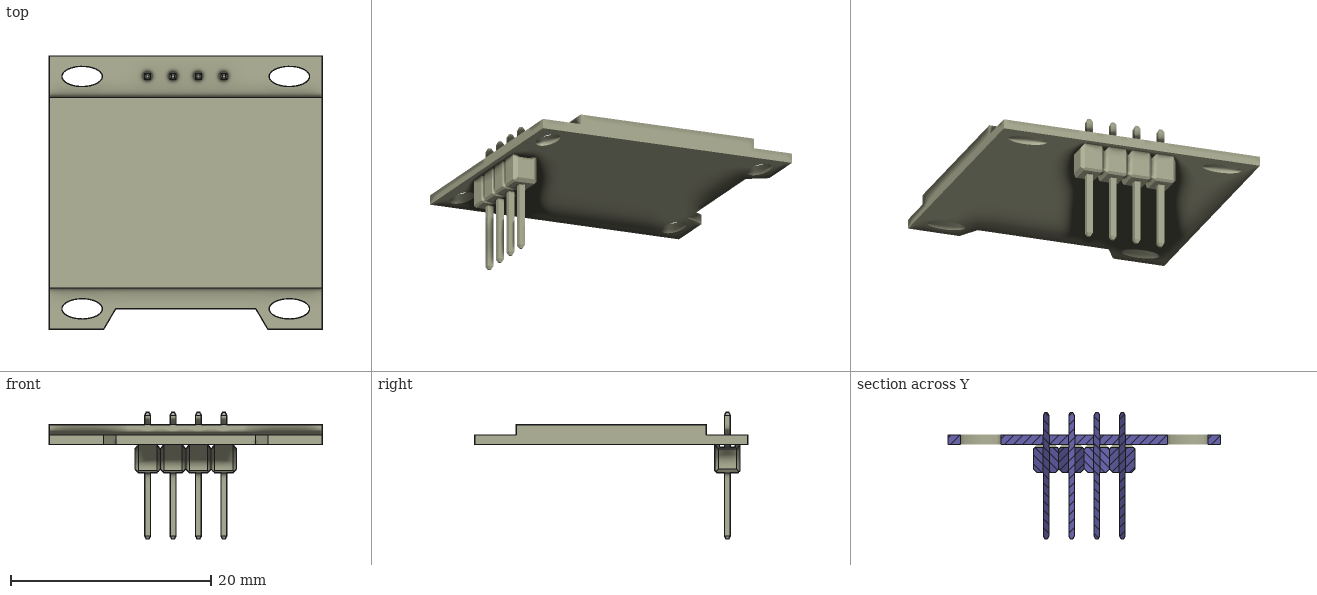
import cadquery as cq

board_size = 27.3
board_thickness = 0.98
display_thickness = 1.0
display_length = 19.0

hole_length = 4.0
hole_width = 2.0
hole_inset_x = 3.3
row_inset_y = 2.05
hole_x = board_size / 2 - hole_inset_x
row_y = board_size / 2 - row_inset_y

cutout_depth = row_inset_y
cutout_mouth_inset = 5.45
cutout_floor_inset = 6.65

pin_count = 4
pin_pitch = 2.55
pin_width = 0.6
pin_length = 12.7
pin_top_z = 3.25
pin_tip_height = 0.33
pin_tip_inset = 0.16

housing_height = 2.8
housing_chamfer = 0.35
top_bevel_height = 0.45
base_bevel = 0.22
housing_groove_width = 1.55
housing_groove_depth = 0.25

pin_places = [
    ((index - (pin_count - 1) / 2) * pin_pitch, row_y) for index in range(pin_count)
]


def make_board():
    """Notched board with its display panel, mounting holes and pin holes; underside at Z = 0."""
    half = board_size / 2
    mouth_x = half - cutout_mouth_inset
    floor_x = half - cutout_floor_inset
    cutout_y = -half + cutout_depth

    plate = (
        cq.Workplane("XY")
        .polyline([
            (-half, -half),
            (-mouth_x, -half),
            (-floor_x, cutout_y),
            (floor_x, cutout_y),
            (mouth_x, -half),
            (half, -half),
            (half, half),
            (-half, half),
        ])
        .close()
        .extrude(board_thickness)
    )
    display = (
        cq.Workplane("XY")
        .rect(board_size, display_length)
        .extrude(board_thickness + display_thickness)
    )
    mounting_holes = (
        cq.Workplane("XY")
        .rect(2 * hole_x, 2 * row_y, forConstruction=True)
        .vertices()
        .ellipse(hole_length / 2, hole_width / 2)
        .extrude(board_thickness)
    )
    pin_holes = (
        cq.Workplane("XY")
        .pushPoints(pin_places)
        .rect(pin_width, pin_width)
        .extrude(board_thickness)
    )
    return plate.union(display).cut(mounting_holes).cut(pin_holes)


def make_housing(x, y):
    """Block hanging from the board, bevelled, grooved along X on top and pierced by the pin."""
    half = pin_pitch / 2
    end_x = half - housing_chamfer
    base_y = half - base_bevel
    groove_y = housing_groove_width / 2

    footprint = (
        cq.Workplane("XY")
        .box(pin_pitch, pin_pitch, housing_height, centered=(True, True, False))
        .edges("|Z")
        .chamfer(housing_chamfer)
    )
    end_profile = (
        cq.Workplane("XZ")
        .polyline([
            (-end_x, 0),
            (end_x, 0),
            (half, housing_chamfer),
            (half, housing_height - top_bevel_height),
            (end_x, housing_height),
            (-end_x, housing_height),
            (-half, housing_height - top_bevel_height),
            (-half, housing_chamfer),
        ])
        .close()
        .extrude(half, both=True)
    )
    side_profile = (
        cq.Workplane("YZ")
        .polyline([
            (-base_y, 0),
            (base_y, 0),
            (half, base_bevel),
            (half, housing_height),
            (groove_y, housing_height),
            (groove_y, housing_height - housing_groove_depth),
            (-groove_y, housing_height - housing_groove_depth),
            (-groove_y, housing_height),
            (-half, housing_height),
            (-half, base_bevel),
        ])
        .close()
        .extrude(half, both=True)
    )
    pin_hole = cq.Workplane("XY").rect(pin_width, pin_width).extrude(housing_height)
    block = footprint.intersect(end_profile).intersect(side_profile)
    return block.cut(pin_hole).translate((x, y, -housing_height))


def make_pin(x, y):
    """Square pin running through housing and board, tapered at both ends."""
    return (
        cq.Workplane("XY")
        .box(pin_width, pin_width, pin_length, centered=(True, True, False))
        .faces("<Z or >Z")
        .chamfer(pin_tip_height, pin_tip_inset)
        .translate((x, y, pin_top_z - pin_length))
    )


board = make_board()
housings = [make_housing(x, y) for x, y in pin_places]
pins = [make_pin(x, y) for x, y in pin_places]

result = cq.Compound.makeCompound([
    board.val(),
    *[housing.val() for housing in housings],
    *[pin.val() for pin in pins],
])